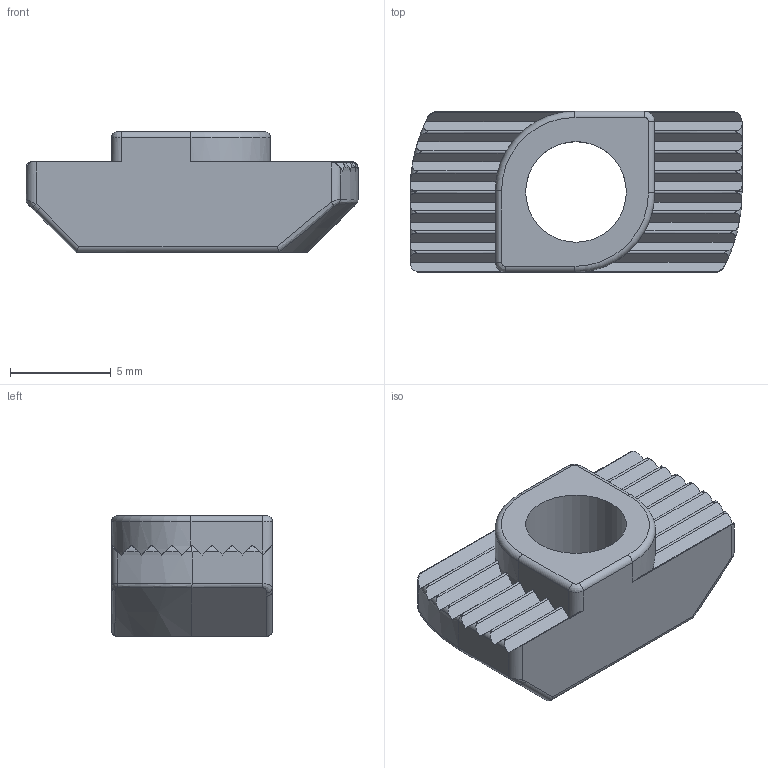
import cadquery as cq
import math

body_length = 16.5
body_width = 8.0
body_height = 4.5
bevel = 2.5
end_reach = body_length / 2
half_width = body_width / 2
foot_reach = end_reach - bevel

total_height = 6.0
boss_length = 7.9
boss_offset = -0.05
boss_root = 3.5
boss_round_radius = boss_length / 2
hole_diameter = 5.0

groove_pitch = 1.0
groove_count = round(body_width / groove_pitch)
groove_depth = groove_pitch / 2
crest_radius = 0.1
crest_loss = crest_radius * (math.sqrt(2) - 1)
sharp_crest_height = body_height + crest_loss

corner_radius = 0.5
edge_radius = 0.3
tolerance = 0.01


def make_turning_bar(profile):
    """Sweep a half profile (X outward, Z up) straight on two quarters and around Z on the others."""
    straight_quarter = profile.extrude(-half_width)
    disc = profile.toPending().revolve(360, (0, 0, 0), (0, 1, 0))
    quarter_block = cq.Workplane("XY").box(end_reach, half_width, body_height, centered=False)
    round_quarter = disc.intersect(quarter_block.translate((0, -half_width, 0)))
    half = straight_quarter.union(round_quarter)
    other_half = half.rotate((0, 0, 0), (0, 0, 1), 180)
    return half.union(other_half).clean()


def make_bevelled_bar():
    """Bar with bevelled ends, rounded on its corners and lower edges."""
    profile = (
        cq.Workplane("XZ")
        .lineTo(foot_reach, 0)
        .lineTo(end_reach, bevel)
        .lineTo(end_reach, body_height)
        .lineTo(0, body_height)
        .close()
    )
    bar = make_turning_bar(profile)
    corners = [edge for edge in bar.edges().vals() if is_corner(edge)]
    bar = bar.newObject(corners).fillet(corner_radius)
    lower_edges = [edge for edge in bar.edges().vals() if is_lower_edge(edge)]
    return bar.newObject(lower_edges).fillet(edge_radius)


def lies_on_side(edge):
    """True for an edge within one of the two long side faces."""
    box = edge.BoundingBox()
    return box.ylen < tolerance and abs(abs(box.center.y) - half_width) < tolerance


def is_corner(edge):
    """True for an upright edge where an end wall meets a long side."""
    return lies_on_side(edge) and edge.BoundingBox().xlen < tolerance


def is_lower_edge(edge):
    """True for the top rim of a bevel and for the bottom and sloping edges of a long side."""
    box = edge.BoundingBox()
    bevel_rim = abs(box.zmin - bevel) < tolerance and abs(box.zmax - bevel) < tolerance
    lower_side = lies_on_side(edge) and box.zmin < bevel - tolerance
    return bevel_rim or lower_side


def make_rounded_top_envelope():
    """Upright-ended bar whose top end edges are rounded; it trims the ends of the serrations."""
    profile = (
        cq.Workplane("XZ")
        .lineTo(end_reach, 0)
        .lineTo(end_reach, body_height - edge_radius)
        .radiusArc((end_reach - edge_radius, body_height), -edge_radius)
        .lineTo(0, body_height)
        .close()
    )
    return make_turning_bar(profile)


def make_serrated_envelope():
    """Block with V grooves along X in its top and crests rounded down to the body height."""
    block = cq.Workplane("XY").box(
        body_length, body_width, sharp_crest_height, centered=(True, True, False)
    )
    half_opening = groove_pitch / 2
    for index in range(groove_count):
        y = -half_width + half_opening + index * groove_pitch
        groove = (
            cq.Workplane("YZ")
            .moveTo(y - half_opening, sharp_crest_height)
            .lineTo(y + half_opening, sharp_crest_height)
            .lineTo(y, sharp_crest_height - groove_depth)
            .close()
            .extrude(end_reach, both=True)
        )
        block = block.cut(groove)
    crests = [edge for edge in block.edges("|X").vals() if is_inner_crest(edge)]
    return block.newObject(crests).fillet(crest_radius)


def is_inner_crest(edge):
    """True for a crest between two grooves."""
    at_top = abs(edge.Center().z - sharp_crest_height) < tolerance
    return at_top and not lies_on_side(edge)


def make_boss():
    """Collar with two large round corners and two small ones, diagonally opposite."""
    boss = (
        cq.Workplane("XY", origin=(boss_offset, 0, boss_root))
        .rect(boss_length, body_width)
        .extrude(total_height - boss_root)
    )
    boss = boss.edges("|Z and (<(1, 1, 0) or >(1, 1, 0))").fillet(corner_radius)
    boss = boss.edges("|Z and (<(1, -1, 0) or >(1, -1, 0))").fillet(boss_round_radius)
    return boss.faces(">Z").edges().fillet(edge_radius)


body = make_bevelled_bar()
body = body.intersect(make_rounded_top_envelope())
body = body.intersect(make_serrated_envelope())
hole = cq.Workplane("XY").circle(hole_diameter / 2).extrude(total_height)
result = body.union(make_boss()).cut(hole).solids()